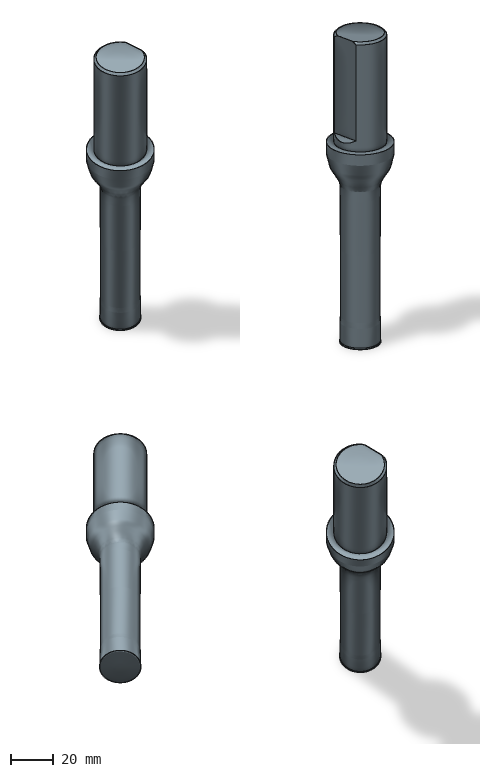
import cadquery as cq
import math

total_height = 159.0
nose_top = 11.0
relief_bottom = 13.8
blend_bottom = 48.3
blend_top = 75.8
bell_bottom = 81.1
collar_bottom = 97.3
collar_top = 103.0

collar_radius = 32.0 / 2
shank_radius = 25.0 / 2
neck_radius = 19.1 / 2
relief_radius = 18.8 / 2
tip_radius = 19.5 / 2

axial = (0, 1)
bell_top_direction = (0.25, 1)
bell_points = [(9.9, 82.7), (11.0, 85.0), (14.0, 89.8)]

rim_round = 0.5
tip_cone_rise = 0.3
rim_center_height = tip_cone_rise + rim_round
rim_center_radius = tip_radius - rim_round
tip_height = rim_center_height + math.sqrt(rim_round**2 - (neck_radius - rim_center_radius) ** 2)
shank_chamfer = 1.1
flat_offset = 10.3
flat_bottom = 106.4
flat_runout = 2.2


def make_holder():
    """Turned holder: full-width nose, relieved barrel, blended neck, bell flare, collar and shank."""
    bell_curve = [*bell_points, (collar_radius, collar_bottom)]
    profile = (
        cq.Workplane("XZ")
        .moveTo(0, tip_height)
        .lineTo(neck_radius, tip_height)
        .lineTo(neck_radius, nose_top)
        .lineTo(relief_radius, relief_bottom)
        .lineTo(relief_radius, blend_bottom)
        .spline([(neck_radius, blend_top)], tangents=[axial, axial], includeCurrent=True)
        .lineTo(neck_radius, bell_bottom)
        .spline(bell_curve, tangents=[axial, bell_top_direction], includeCurrent=True)
        .lineTo(collar_radius, collar_top)
        .lineTo(shank_radius, collar_top)
        .lineTo(shank_radius, total_height - shank_chamfer)
        .lineTo(shank_radius - shank_chamfer, total_height)
        .lineTo(0, total_height)
        .close()
    )
    return profile.revolve(360, (0, 0, 0), (0, 1, 0)).cut(make_flat_cutter())


def make_flat_cutter():
    """Material removed on the +Y side of the shank, with a sloping run-out at the lower end."""
    return (
        cq.Workplane("YZ")
        .moveTo(flat_offset, total_height)
        .lineTo(flat_offset, flat_bottom + flat_runout)
        .lineTo(flat_offset + flat_runout, flat_bottom)
        .lineTo(collar_radius, flat_bottom)
        .lineTo(collar_radius, total_height)
        .close()
        .extrude(shank_radius, both=True)
    )


def make_tip():
    """Thin cutting disc under the holder, with a shallow conical face and a rounded rim slightly wider than the nose."""
    return (
        cq.Workplane("XZ")
        .lineTo(rim_center_radius, tip_cone_rise)
        .threePointArc((tip_radius, rim_center_height), (neck_radius, tip_height))
        .lineTo(0, tip_height)
        .close()
        .revolve(360, (0, 0, 0), (0, 1, 0))
    )


holder = make_holder()
tip = make_tip()
result = cq.Compound.makeCompound([holder.val(), tip.val()])